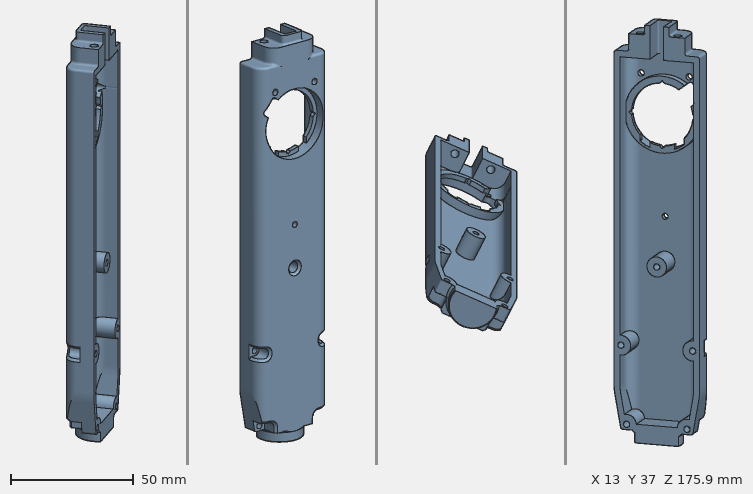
import cadquery as cq

depth = 13.0
height = 175.9
half_width = 18.5
edge_radius = 5.1
body_bottom = 5.3
shoulder_z = 164.5
shoulder_radius = 1.0
taper_start = 22.0
taper_bottom_half = 15.5
taper_blend = 20.0
bottom_corner = 1.0

head_top = 171.9
head_half = 12.1
clip_front = 1.0
clip_half = 5.3
clip_radius = 1.5
clip_foot = 0.9
slot_half = 3.0
slot_radius = 0.7
head_hole_x = 10.0
head_hole_y = 8.1
head_hole_d = 3.3
nose_half = 9.5
nose_chamfer = 0.4
nose_flare = 1.0

wall = 2.6
cavity_bottom = body_bottom + wall
cavity_top = shoulder_z - wall
cavity_front = wall

dial_z = 137.2
seat_radius = 15.1
seat_depth = 4.2
ledge_radius = 13.2
sleeve_radius = 16.2
sleeve_back = 6.3
vee_tip = 14.2
vee_length = 2.6
gap_inner = 5.3
gap_outer = 9.5
lever_angle = 38.0
lever_width = 8.5
lever_reach = 17.6
lever_radius = 1.4

upper_hole_y = 10.4
upper_hole_z = 153.0
pin_hole_z = 93.5
pin_hole_d = 2.5
center_screw_z = 74.8
screw_hole_d = 2.6
boss_radius = 4.2
side_screw_y = 15.5
side_screw_z = 40.6
bottom_screw_y = 13.0
bottom_screw_z = 7.5
pocket_radius = 2.3
bottom_pocket_radius = 2.8
pocket_depth = 7.0
pocket_chamfer = 1.0

touch = 0.09


def rounded_bar(half, bottom, top):
    """Bar of the full depth with both long front edges rounded."""
    bar = cq.Workplane("XY").box(depth, 2 * half, top - bottom, centered=(False, True, False))
    return bar.edges("|Z and <X").fillet(edge_radius).translate((0, 0, bottom))


def rod(radius, y, z, start, end):
    """Round rod along X."""
    return cq.Workplane("YZ", origin=(start, y, z)).circle(radius).extrude(end - start)


def block(x0, x1, y0, y1, z0, z1):
    """Box between two opposite corners."""
    corner = (min(x0, x1), min(y0, y1), min(z0, z1))
    box = cq.Workplane("XY").box(abs(x1 - x0), abs(y1 - y0), abs(z1 - z0), centered=False)
    return box.translate(corner)


def edges_near(x0, x1, y0, y1, z0, z1):
    """Selector for edges whose middle lies in the given box."""
    low = (x0 - touch, y0 - touch, z0 - touch)
    high = (x1 + touch, y1 + touch, z1 + touch)
    return cq.selectors.BoxSelector(low, high)


def side_profile(inset, bottom, top):
    """Prism along X with the tapered outline, moved inwards by an inset."""
    slope = (half_width - taper_bottom_half) / (taper_start - body_bottom)
    low = taper_bottom_half - inset + slope * (bottom - body_bottom)
    high = half_width - inset
    points = [(low, bottom), (high, taper_start), (high, top),
              (-high, top), (-high, taper_start), (-low, bottom)]
    prism = cq.Workplane("YZ").polyline(points).close().extrude(depth)
    for side in ("<Y", ">Y"):
        bend = edges_near(0, depth, -half_width, half_width, taper_start, taper_start)
        prism = prism.edges(bend).edges(side).fillet(taper_blend)
    return prism


def nose_outline(bottom):
    """Arc from one side of the open face to the other, touching the front plane."""
    return (
        cq.Workplane("XY", origin=(0, 0, bottom))
        .moveTo(depth, -nose_half)
        .threePointArc((0, 0), (depth, nose_half))
        .close()
    )


def make_nose():
    """Round-fronted lug closing the lower end, widening into the body."""
    lug = nose_outline(0).extrude(body_bottom).faces("<Z").edges("not >X").chamfer(nose_chamfer)
    flare = nose_outline(body_bottom - nose_flare).extrude(nose_flare, taper=-45)
    envelope = block(0, depth, -half_width, half_width, 0, body_bottom)
    return lug.union(flare.intersect(envelope))


def make_body():
    """Solid body with head, before hollowing."""
    profile = side_profile(0, body_bottom, shoulder_z).edges("|X and <Z").fillet(bottom_corner)
    body = rounded_bar(half_width, body_bottom, shoulder_z).intersect(profile)
    body = body.faces(">Z").edges("not >X").fillet(shoulder_radius)
    body = body.union(rounded_bar(head_half, cavity_bottom, head_top))
    step = edges_near(0, depth, -head_half, head_half, shoulder_z, shoulder_z)
    return body.edges(step).fillet(shoulder_radius)


def cut_pocket(body, side, y, z, radius, open_down):
    """Chamfered screw pocket, open to the side (+1 or -1 along Y) and optionally downwards."""
    low = body_bottom if open_down else z - radius
    outside = side * (half_width + wall)
    inmost = side * (y - radius)
    recess = rod(radius, side * y, z, 0, pocket_depth)
    recess = recess.union(block(0, pocket_depth, side * y, outside, low, z + radius))
    if open_down:
        recess = recess.union(block(0, pocket_depth, inmost, outside, low, z))
    body = body.cut(recess)
    rim = edges_near(0, 0, min(inmost, outside), max(inmost, outside), z, z + radius)
    return body.edges(rim).chamfer(pocket_chamfer)


def add_clip(body):
    """U-shaped rim on the head, with a rounded foot."""
    clip = block(clip_front, depth, -clip_half, clip_half, cavity_top, height)
    body = body.union(clip.edges("|Z and <X").fillet(clip_radius))
    foot = edges_near(clip_front, depth, -clip_half, clip_half, head_top, head_top)
    return body.edges(foot).fillet(clip_foot)


def make_cavity():
    """Hollow space, open towards +X."""
    bar = rounded_bar(half_width - wall, cavity_bottom, cavity_top).translate((cavity_front, 0, 0))
    return bar.intersect(side_profile(wall, cavity_bottom, cavity_top))


def make_bosses():
    """Inner sleeve around the large opening and the posts behind the screws."""
    bosses = rod(sleeve_radius, 0, dial_z, cavity_front, sleeve_back)
    bosses = bosses.union(rod(boss_radius, 0, center_screw_z, cavity_front, depth))
    for side in (-1, 1):
        bosses = bosses.union(rod(boss_radius, side * side_screw_y, side_screw_z, cavity_front, depth))
        bosses = bosses.union(rod(boss_radius, side * bottom_screw_y, bottom_screw_z, cavity_front, depth))
    return bosses


def head_openings():
    """Clip slot and two screw holes, running down into the cavity."""
    slot = block(cavity_front, depth, -slot_half, slot_half, cavity_top, height)
    slot = slot.edges("|Z and <X").fillet(slot_radius)
    holes = (
        cq.Workplane("XY", origin=(0, 0, cavity_top))
        .pushPoints([(head_hole_x, head_hole_y), (head_hole_x, -head_hole_y)])
        .circle(head_hole_d / 2)
        .extrude(head_top - cavity_top)
    )
    return slot.union(holes)


def turned(shape, angle):
    """Shape drawn around the X axis, turned and moved to the middle of the large opening."""
    return shape.rotate((0, 0, 0), (1, 0, 0), angle).translate((0, 0, dial_z))


def dial_opening():
    """Stepped round opening with pointed notches, lower gaps and a side notch."""
    opening = rod(seat_radius, 0, dial_z, 0, seat_depth)
    opening = opening.union(rod(ledge_radius, 0, dial_z, 0, depth))
    vee_base = vee_tip - vee_length
    vee_points = [(vee_base, -vee_length), (vee_tip, 0), (vee_base, vee_length)]
    vee = cq.Workplane("YZ").polyline(vee_points).close().extrude(depth)
    for angle in (0, 90, 180, 270):
        opening = opening.union(turned(vee, angle))
    full_round = rod(seat_radius, 0, dial_z, 0, depth)
    for start, end in ((gap_inner, gap_outer), (-gap_outer, -gap_inner)):
        gap = block(0, depth, start, end, dial_z - seat_radius, dial_z)
        opening = opening.union(gap.intersect(full_round))
    lever = block(0, depth, 0, lever_reach, -lever_width / 2, lever_width / 2)
    lever = lever.edges("|X and >Y").fillet(lever_radius)
    return opening.union(turned(lever, lever_angle))


def center_recess():
    """Round recess with a chamfered rim."""
    recess = rod(pocket_radius, 0, center_screw_z, 0, pocket_depth)
    rim = cq.Workplane("YZ", origin=(0, 0, center_screw_z)).circle(pocket_radius + pocket_chamfer)
    return recess.union(rim.extrude(pocket_chamfer, taper=45))


def through_holes():
    """Round holes running through along X."""
    holes = rod(pin_hole_d / 2, 0, pin_hole_z, 0, depth)
    holes = holes.union(rod(screw_hole_d / 2, 0, center_screw_z, 0, depth))
    pairs = [(upper_hole_y, upper_hole_z), (side_screw_y, side_screw_z), (bottom_screw_y, bottom_screw_z)]
    for y, z in pairs:
        for side in (-1, 1):
            holes = holes.union(rod(screw_hole_d / 2, side * y, z, 0, depth))
    return holes


outer = make_body()
for hand in (-1, 1):
    outer = cut_pocket(outer, hand, side_screw_y, side_screw_z, pocket_radius, False)
    outer = cut_pocket(outer, hand, bottom_screw_y, bottom_screw_z, bottom_pocket_radius, True)
outer = add_clip(outer).union(make_nose())

hollow = make_cavity().cut(make_bosses())
result = outer.cut(hollow)
for opening in (head_openings(), dial_opening(), center_recess(), through_holes()):
    result = result.cut(opening)